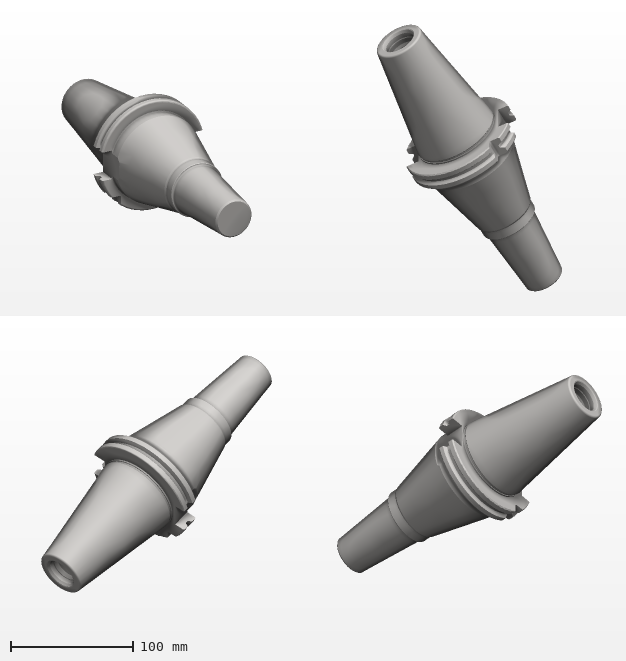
import cadquery as cq
import math

TOTAL_LENGTH = 261.5

GAUGE_RADIUS = 35.0
GAUGE_X = 101.2
TAPER_SLOPE = 7 / 48
TAPER_END_ROUND = 1.8

RELIEF_RADIUS = 34.3
RELIEF_SLOPE_LENGTH = 0.8
RELIEF_FLOOR_LENGTH = 1.5

FLANGE_X = 105.0
FLANGE_WIDTH = 16.0
FLANGE_RADIUS = 48.7
FLANGE_FRONT_ROUND = 1.0
FLANGE_BACK_ROUND = 1.5
V_GROOVE_CENTER_X = FLANGE_X + 7.8
V_GROOVE_RADIUS = 45.5
V_GROOVE_FLOOR_WIDTH = 2.5
V_GROOVE_HALF_ANGLE = 30

BODY_RADIUS = 39.0
BODY_END_X = 130.3
BODY_ROOT_FILLET = 0.8
BODY_CONE_END_X = 187.5
BODY_CONE_END_RADIUS = 25.0

COLLAR_START_X = 189.1
COLLAR_END_X = 197.8
COLLAR_RADIUS = 24.0
COLLAR_CHAMFER = 0.5
NOSE_ROOT_FILLET = 1.3
NOSE_START_RADIUS = 22.0
NOSE_END_RADIUS = 16.7
NOSE_CHAMFER = 1.3

KEYWAY_WIDTH = 25.6
KEYWAY_FRONT_FLOOR = 37.7
KEYWAY_FRONT_END_X = 133.5
KEYWAY_TAIL_WIDTH = 22.2
KEYWAY_CORNER_RADIUS = 2.0
KEYWAY_BACK_FLOOR = 35.3
KEYWAY_BACK_END_X = 132.5

NOTCH_OFFSET = 29.5
NOTCH_CORNER_RADIUS = 1.5

BORE_MOUTH_RADIUS = 14.6
BORE_CENTER_CONE_RADIUS = 13.9
BORE_PILOT_RADIUS = 12.5
BORE_PILOT_END_X = 6.8
BORE_THREAD_RADIUS = 12.0
BORE_THREAD_END_X = 11.2
BORE_CORE_RADIUS = 10.2
BORE_DEPTH = 62.8
MOUTH_HALF_ANGLE = 60
CENTER_CONE_HALF_ANGLE = 30
BORE_STEP_HALF_ANGLE = 45
DRILL_POINT_HALF_ANGLE = 59

FLANGE_END_X = FLANGE_X + FLANGE_WIDTH


def revolve(profile):
    """Turn a closed X-radius profile about the X axis."""
    return profile.close().revolve(360, (0, 0, 0), (1, 0, 0))


def make_taper():
    small_radius = GAUGE_RADIUS - GAUGE_X * TAPER_SLOPE
    floor_start = GAUGE_X + RELIEF_SLOPE_LENGTH
    floor_end = floor_start + RELIEF_FLOOR_LENGTH
    taper = revolve(
        cq.Workplane("XY")
        .lineTo(0, small_radius)
        .lineTo(GAUGE_X, GAUGE_RADIUS)
        .lineTo(floor_start, RELIEF_RADIUS)
        .lineTo(floor_end, RELIEF_RADIUS)
        .lineTo(floor_end, GAUGE_RADIUS)
        .lineTo(FLANGE_X, GAUGE_RADIUS)
        .lineTo(FLANGE_X, 0)
    )
    return taper.faces("<X").edges().fillet(TAPER_END_ROUND)


def make_flange():
    half_floor = V_GROOVE_FLOOR_WIDTH / 2
    groove_depth = FLANGE_RADIUS - V_GROOVE_RADIUS
    half_mouth = half_floor + groove_depth * math.tan(math.radians(V_GROOVE_HALF_ANGLE))
    flange = revolve(
        cq.Workplane("XY")
        .moveTo(FLANGE_X, 0)
        .lineTo(FLANGE_X, FLANGE_RADIUS)
        .lineTo(V_GROOVE_CENTER_X - half_mouth, FLANGE_RADIUS)
        .lineTo(V_GROOVE_CENTER_X - half_floor, V_GROOVE_RADIUS)
        .lineTo(V_GROOVE_CENTER_X + half_floor, V_GROOVE_RADIUS)
        .lineTo(V_GROOVE_CENTER_X + half_mouth, FLANGE_RADIUS)
        .lineTo(FLANGE_END_X, FLANGE_RADIUS)
        .lineTo(FLANGE_END_X, 0)
    )
    flange = flange.faces("<X").edges().fillet(FLANGE_FRONT_ROUND)
    return flange.faces(">X").edges().fillet(FLANGE_BACK_ROUND)


def make_body_and_nose():
    root_radius = BODY_RADIUS + BODY_ROOT_FILLET
    return revolve(
        cq.Workplane("XY")
        .moveTo(FLANGE_END_X, 0)
        .lineTo(FLANGE_END_X, root_radius)
        .radiusArc((FLANGE_END_X + BODY_ROOT_FILLET, BODY_RADIUS), -BODY_ROOT_FILLET)
        .lineTo(BODY_END_X, BODY_RADIUS)
        .lineTo(BODY_CONE_END_X, BODY_CONE_END_RADIUS)
        .lineTo(COLLAR_START_X, COLLAR_RADIUS)
        .lineTo(COLLAR_END_X - COLLAR_CHAMFER, COLLAR_RADIUS)
        .lineTo(COLLAR_END_X, COLLAR_RADIUS - COLLAR_CHAMFER)
        .lineTo(COLLAR_END_X, NOSE_START_RADIUS + NOSE_ROOT_FILLET)
        .radiusArc((COLLAR_END_X + NOSE_ROOT_FILLET, NOSE_START_RADIUS), -NOSE_ROOT_FILLET)
        .lineTo(TOTAL_LENGTH - NOSE_CHAMFER, NOSE_END_RADIUS)
        .lineTo(TOTAL_LENGTH, NOSE_END_RADIUS - NOSE_CHAMFER)
        .lineTo(TOTAL_LENGTH, 0)
    )


def make_keyway(side, floor):
    """Slot through the flange on one Y side (-1 or 1), its floor that far from the axis."""
    height = FLANGE_RADIUS - floor
    center_y = side * (floor + height / 2)
    return (
        cq.Workplane("XY")
        .box(FLANGE_WIDTH, height, KEYWAY_WIDTH)
        .translate((FLANGE_X + FLANGE_WIDTH / 2, center_y, 0))
    )


def make_front_keyway_tail():
    """Narrower run of the -Y keyway into the body, with rounded end corners."""
    length = KEYWAY_FRONT_END_X - FLANGE_X
    height = FLANGE_RADIUS - KEYWAY_FRONT_FLOOR
    return (
        cq.Workplane("XY")
        .box(length, height, KEYWAY_TAIL_WIDTH)
        .edges("|Y and >X")
        .fillet(KEYWAY_CORNER_RADIUS)
        .translate((FLANGE_X + length / 2, -(KEYWAY_FRONT_FLOOR + height / 2), 0))
    )


def make_back_flat():
    """Flat across the whole +Y side of the body, level with the +Y keyway floor."""
    length = KEYWAY_BACK_END_X - FLANGE_END_X
    height = FLANGE_RADIUS - KEYWAY_BACK_FLOOR
    return (
        cq.Workplane("XY")
        .box(length, height, 2 * BODY_RADIUS)
        .translate((FLANGE_END_X + length / 2, KEYWAY_BACK_FLOOR + height / 2, 0))
    )


def make_notch():
    size = FLANGE_RADIUS - NOTCH_OFFSET
    center = -(NOTCH_OFFSET + size / 2)
    return (
        cq.Workplane("XY")
        .box(FLANGE_WIDTH, size, size)
        .edges("|X and >Y and >Z")
        .fillet(NOTCH_CORNER_RADIUS)
        .translate((FLANGE_X + FLANGE_WIDTH / 2, center, center))
    )


def cone_length(large_radius, small_radius, half_angle):
    """Length along the axis of a cone between two radii."""
    return (large_radius - small_radius) / math.tan(math.radians(half_angle))


def make_bore():
    mouth_end = cone_length(BORE_MOUTH_RADIUS, BORE_CENTER_CONE_RADIUS, MOUTH_HALF_ANGLE)
    pilot_start = mouth_end + cone_length(
        BORE_CENTER_CONE_RADIUS, BORE_PILOT_RADIUS, CENTER_CONE_HALF_ANGLE
    )
    thread_start = BORE_PILOT_END_X + cone_length(
        BORE_PILOT_RADIUS, BORE_THREAD_RADIUS, BORE_STEP_HALF_ANGLE
    )
    core_start = BORE_THREAD_END_X + cone_length(
        BORE_THREAD_RADIUS, BORE_CORE_RADIUS, BORE_STEP_HALF_ANGLE
    )
    point_end = BORE_DEPTH + cone_length(BORE_CORE_RADIUS, 0, DRILL_POINT_HALF_ANGLE)
    return revolve(
        cq.Workplane("XY")
        .lineTo(0, BORE_MOUTH_RADIUS)
        .lineTo(mouth_end, BORE_CENTER_CONE_RADIUS)
        .lineTo(pilot_start, BORE_PILOT_RADIUS)
        .lineTo(BORE_PILOT_END_X, BORE_PILOT_RADIUS)
        .lineTo(thread_start, BORE_THREAD_RADIUS)
        .lineTo(BORE_THREAD_END_X, BORE_THREAD_RADIUS)
        .lineTo(core_start, BORE_CORE_RADIUS)
        .lineTo(BORE_DEPTH, BORE_CORE_RADIUS)
        .lineTo(point_end, 0)
    )


result = (
    make_taper()
    .union(make_flange())
    .union(make_body_and_nose())
    .cut(make_keyway(-1, KEYWAY_FRONT_FLOOR))
    .cut(make_front_keyway_tail())
    .cut(make_keyway(1, KEYWAY_BACK_FLOOR))
    .cut(make_back_flat())
    .cut(make_notch())
    .cut(make_bore())
)